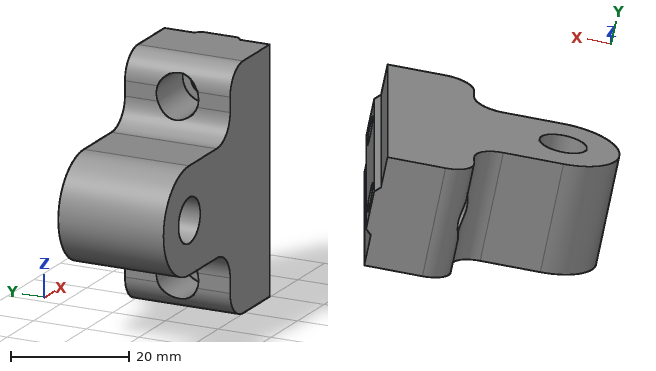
import cadquery as cq

height = 45.0
depth = 20.0
length = 41.15

rib_height = 1.0
base_thickness = 15.0
rib_root_width = 8.8
rib_tip_width = 6.85
corner_radius = 5.0

lug_radius = 9.75
pivot_diameter = 8.2

screw_spacing = 32.25
screw_diameter = 5.0
counterbore_diameter = 8.0
counterbore_depth = 10.0

base_back = length - lug_radius - rib_height
base_front = base_back - base_thickness


def make_body():
    """Base plate and rounded lug, blended by quarter-round fillets."""
    lug = (
        cq.Workplane("XZ")
        .circle(lug_radius)
        .extrude(depth / 2, both=True)
    )
    neck_length = base_front + base_thickness / 2
    neck = cq.Workplane("XY").box(
        neck_length, depth, 2 * lug_radius, centered=(False, True, True)
    )
    base = (
        cq.Workplane("XY")
        .box(base_thickness, depth, height, centered=(False, True, True))
        .translate((base_front, 0, 0))
        .edges("|Y and <X")
        .fillet(corner_radius)
    )
    body = base.union(neck).union(lug)
    for side in (-1, 1):
        inner_corner = cq.selectors.NearestToPointSelector((base_front, 0, side * lug_radius))
        body = body.edges("|Y").edges(inner_corner).fillet(corner_radius)
    return body


def make_rib():
    """Full-height trapezoidal rib on the back of the base."""
    return (
        cq.Workplane("XY", origin=(0, 0, -height / 2))
        .polyline([
            (base_back, -rib_root_width / 2),
            (base_back + rib_height, -rib_tip_width / 2),
            (base_back + rib_height, rib_tip_width / 2),
            (base_back, rib_root_width / 2),
        ])
        .close()
        .extrude(height)
    )


def make_pivot_hole():
    return cq.Workplane("XZ").circle(pivot_diameter / 2).extrude(depth, both=True)


def make_screw_holes():
    """Through holes whose counterbores also cut the fillets in front of the base."""
    centers = [(0, -screw_spacing / 2), (0, screw_spacing / 2)]
    through = cq.Workplane("YZ").pushPoints(centers).circle(screw_diameter / 2).extrude(length)
    counterbores = (
        cq.Workplane("YZ")
        .pushPoints(centers)
        .circle(counterbore_diameter / 2)
        .extrude(base_front + counterbore_depth)
    )
    return through.union(counterbores)


result = make_body().union(make_rib()).cut(make_pivot_hole()).cut(make_screw_holes())